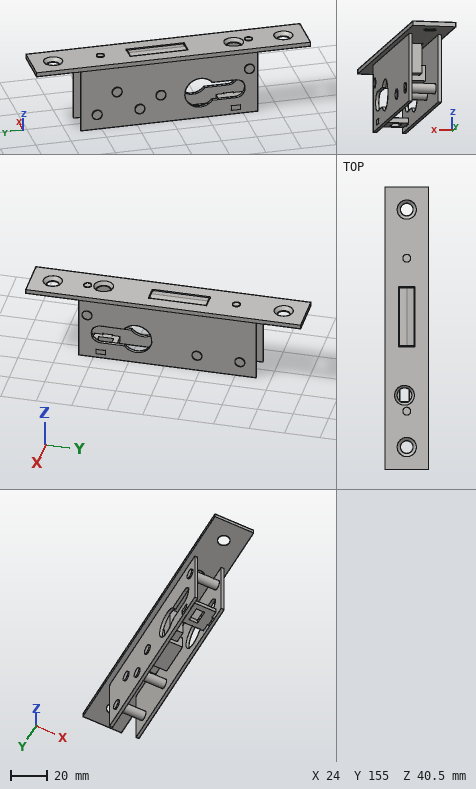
import cadquery as cq


PLATE_WIDTH = 24.0
PLATE_LENGTH = 155.0
PLATE_THICKNESS = 2.5
SCREW_SPACING = 130.2
SCREW_RADIUS = 3.4
SCREW_SINK_RADIUS = 5.3
SINK_DEPTH = 2.0
FIXING_X = -1.2
FIXING_Y = -36.7
FIXING_RADIUS = 4.0
FIXING_SINK_RADIUS = 5.5
STUD_YS = (38.5, -45.4)
STUD_RADIUS = 2.2
STUD_HEIGHT = 0.5

BOLT_WIDTH = 8.0
BOLT_LENGTH = 32.0
BOLT_Y = 6.4
BOLT_BOTTOM = -18.9
BOLT_CROWN_DROP = 0.5
BOLT_CROWN_BULGE = 0.08
BOLT_GAP = 0.5
TAIL_BOTTOM = -21.9
TAIL_TOP = -13.3
TAIL_LENGTH = 18.6

CASE_BOTTOM = -40.0
CASE_FRONT = -48.4
CASE_LENGTH = 100.0
CASE_WIDTH = 18.3
SIDE_THICKNESS = 1.9
CASE_GAP = CASE_WIDTH - 2 * SIDE_THICKNESS

PIN_CENTRES = ((-43.5, -13.3), (18.5, -30.4), (42.6, -31.0))
RIVET_CENTRES = ((31.3, -18.5), (6.5, -23.4))
PIN_RADIUS = 2.8
LEFT_HEAD_HEIGHT = 0.8
RIGHT_HEAD_HEIGHT = 0.5

CYLINDER_Y = -15.8
CYLINDER_Z = -24.8
CYLINDER_RADIUS = 8.7
TONGUE_RADIUS = 5.5
TONGUE_Y = -35.8

BAR_TOP = -34.9
BAR_THICKNESS = 2.8
BAR_BOTTOM = BAR_TOP - BAR_THICKNESS
BAR_SIDE_CLEARANCE = 0.6
BAR_WIDTH = CASE_GAP - 2 * BAR_SIDE_CLEARANCE
BAR_Y = -36.0
BAR_LENGTH = 14.5
TENON_LENGTH = 5.3
BAR_SLOT_WIDTH = 5.1
BAR_SLOT_LENGTH = 8.4


def block(size_x, size_y, top, bottom, x=0.0, y=0.0):
    """Box centred on (x, y) that reaches from `bottom` up to `top`."""
    return (
        cq.Workplane("XY", origin=(x, y, bottom))
        .rect(size_x, size_y)
        .extrude(top - bottom)
    )


def countersunk_hole(x, y, radius, sink_radius):
    """Cutter for a through hole with a conical mouth in the faceplate's top face."""
    profile = [
        (0, 0),
        (sink_radius, 0),
        (radius, -SINK_DEPTH),
        (radius, -PLATE_THICKNESS),
        (0, -PLATE_THICKNESS),
    ]
    cutter = cq.Workplane("XZ").polyline(profile).close().revolve(360, (0, 0), (0, 1))
    return cutter.translate((x, y, 0))


def cross_cylinder(centre, start_x, end_x):
    """Cylinder along X between two X positions, centred on a (Y, Z) point."""
    return (
        cq.Workplane("YZ", origin=(start_x, 0, 0))
        .center(*centre)
        .circle(PIN_RADIUS)
        .extrude(end_x - start_x)
    )


def make_faceplate():
    plate = block(PLATE_WIDTH, PLATE_LENGTH, 0, -PLATE_THICKNESS)
    for y in (-SCREW_SPACING / 2, SCREW_SPACING / 2):
        plate = plate.cut(countersunk_hole(0, y, SCREW_RADIUS, SCREW_SINK_RADIUS))
    fixing_hole = countersunk_hole(FIXING_X, FIXING_Y, FIXING_RADIUS, FIXING_SINK_RADIUS)
    plate = plate.cut(fixing_hole)
    window_width = BOLT_WIDTH + 2 * BOLT_GAP
    window_length = BOLT_LENGTH + 2 * BOLT_GAP
    plate = plate.cut(block(window_width, window_length, 0, -PLATE_THICKNESS, y=BOLT_Y))
    for y in STUD_YS:
        stud = cq.Workplane("XY", origin=(0, y, -PLATE_THICKNESS)).circle(STUD_RADIUS)
        plate = plate.union(stud.extrude(PLATE_THICKNESS + STUD_HEIGHT))
    return plate


def make_bolt():
    half_width = BOLT_WIDTH / 2
    head = (
        cq.Workplane("XZ", origin=(0, BOLT_Y + BOLT_LENGTH / 2, 0))
        .moveTo(-half_width, BOLT_BOTTOM)
        .lineTo(half_width, BOLT_BOTTOM)
        .lineTo(half_width, -BOLT_CROWN_DROP)
        .sagittaArc((0, 0), -BOLT_CROWN_BULGE)
        .sagittaArc((-half_width, -BOLT_CROWN_DROP), -BOLT_CROWN_BULGE)
        .close()
        .extrude(BOLT_LENGTH)
    )
    return head.union(block(CASE_GAP, TAIL_LENGTH, TAIL_TOP, TAIL_BOTTOM, y=BOLT_Y))


def cylinder_opening():
    """Cutter for the lock cylinder: a round barrel and a narrower round-ended tongue."""
    plane = cq.Workplane("YZ", origin=(-CASE_WIDTH / 2, 0, 0))
    barrel = plane.center(CYLINDER_Y, CYLINDER_Z).circle(CYLINDER_RADIUS).extrude(CASE_WIDTH)
    tongue_length = CYLINDER_Y - TONGUE_Y
    tongue = (
        plane.center(CYLINDER_Y - tongue_length / 2, CYLINDER_Z)
        .slot2D(tongue_length + 2 * TONGUE_RADIUS, 2 * TONGUE_RADIUS)
        .extrude(CASE_WIDTH)
    )
    return barrel.union(tongue)


def tenons():
    """Bar section that reaches through both case sides; also the cutter for its mortises."""
    return block(CASE_WIDTH, TENON_LENGTH, BAR_TOP, BAR_BOTTOM, y=BAR_Y)


def make_cross_bar():
    bar = block(BAR_WIDTH, BAR_LENGTH, BAR_TOP, BAR_BOTTOM, y=BAR_Y).union(tenons())
    return bar.cut(block(BAR_SLOT_WIDTH, BAR_SLOT_LENGTH, BAR_TOP, BAR_BOTTOM, FIXING_X, BAR_Y))


def make_case_sides():
    """Two side walls with the cylinder opening and mortises, joined by pins and fitted with rivets."""
    centre_y = CASE_FRONT + CASE_LENGTH / 2
    sides = block(CASE_WIDTH, CASE_LENGTH, -PLATE_THICKNESS, CASE_BOTTOM, y=centre_y)
    sides = sides.cut(block(CASE_GAP, CASE_LENGTH, -PLATE_THICKNESS, CASE_BOTTOM, y=centre_y))
    sides = sides.cut(cylinder_opening()).cut(tenons())
    left_head = -CASE_WIDTH / 2 - LEFT_HEAD_HEIGHT
    right_head = CASE_WIDTH / 2 + RIGHT_HEAD_HEIGHT
    for centre in PIN_CENTRES:
        sides = sides.union(cross_cylinder(centre, left_head, right_head))
    for centre in RIVET_CENTRES:
        sides = sides.union(cross_cylinder(centre, left_head, -CASE_GAP / 2))
    return sides


def make_housing():
    return make_faceplate().union(make_case_sides())


housing = make_housing()
bolt = make_bolt()
cross_bar = make_cross_bar()
result = cq.Compound.makeCompound([housing.val(), bolt.val(), cross_bar.val()])